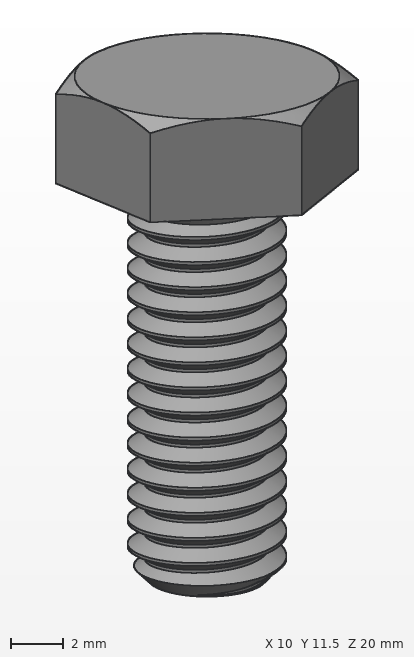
import cadquery as cq
import math

across_flats = 10.0
hexagon_half_sector = 30.0
head_height = 4.0
head_chamfer_angle = 30.0

shank_length = 16.0
major_diameter = 6.0
pitch = 1.0
crest_width = pitch / 8
root_width = pitch / 8
flank_half_angle = 30.0
thread_depth = (pitch - crest_width - root_width) / 2 / math.tan(math.radians(flank_half_angle))
major_radius = major_diameter / 2
minor_radius = major_radius - thread_depth
crest_phase_angle = 90.0

neck_radius = 3.1
neck_half_angle = 30.0
tip_radius = 2.25

groove_overcut = 0.05


def revolved(profile):
    """Revolve (radius, z) points about the bolt axis."""
    return cq.Workplane("XZ").polyline(profile).close().revolve(360, (0, 0, 0), (0, 1, 0))


def hexagon_head():
    """Hexagon with flats facing +X and -X and corners chamfered down from the top."""
    corner_radius = across_flats / 2 / math.cos(math.radians(hexagon_half_sector))
    hexagon = (
        cq.Workplane("XY")
        .polygon(6, 2 * corner_radius)
        .extrude(head_height)
        .rotate((0, 0, 0), (0, 0, 1), hexagon_half_sector)
    )
    flat_radius = across_flats / 2
    outer_radius = 2 * flat_radius
    drop = (outer_radius - flat_radius) * math.tan(math.radians(head_chamfer_angle))
    chamfer_cone = revolved([
        (0, 0),
        (outer_radius, 0),
        (outer_radius, head_height - drop),
        (flat_radius, head_height),
        (0, head_height),
    ])
    return hexagon.intersect(chamfer_cone)


def thread_groove():
    """Right-handed trapezoidal groove, overrunning the shank at both ends."""
    mouth_radius = major_radius + groove_overcut
    root_half = root_width / 2
    mouth_half = (pitch - crest_width) / 2 + groove_overcut * math.tan(math.radians(flank_half_angle))
    crests_along_shank = math.ceil(shank_length / pitch)
    turns = crests_along_shank + 2
    start_z = -(crests_along_shank + 1) * pitch - pitch / 2

    def helix_turn(radius, z):
        return cq.Wire.makeHelix(pitch, pitch, radius).moved(cq.Location(cq.Vector(0, 0, z)))

    section = [
        (minor_radius, -root_half),
        (minor_radius, root_half),
        (mouth_radius, mouth_half),
        (mouth_radius, -mouth_half),
    ]
    faces = []
    for turn in range(turns):
        turn_z = start_z + turn * pitch
        rails = [helix_turn(radius, turn_z + offset) for radius, offset in section]
        for first_rail, second_rail in zip(rails, rails[1:] + rails[:1]):
            faces += cq.Face.makeRuledSurface(first_rail, second_rail).Faces()
    for end_z in (start_z, start_z + turns * pitch):
        corners = [cq.Vector(radius, 0, end_z + offset) for radius, offset in section]
        faces.append(cq.Face.makeFromWires(cq.Wire.makePolygon(corners, close=True)))
    groove = cq.Solid.makeSolid(cq.Shell.makeShell(faces))
    return cq.Workplane(groove).rotate((0, 0, 0), (0, 0, 1), crest_phase_angle)


def threaded_shank():
    """Cylinder with a 45 degree tip chamfer, cut by the thread groove."""
    chamfer_top = major_radius - tip_radius - shank_length
    blank = revolved([
        (0, 0),
        (major_radius, 0),
        (major_radius, chamfer_top),
        (tip_radius, -shank_length),
        (0, -shank_length),
    ])
    return blank.cut(thread_groove())


def neck():
    """Cone that narrows from the head to the thread root."""
    neck_length = (neck_radius - minor_radius) / math.tan(math.radians(neck_half_angle))
    return revolved([(0, 0), (neck_radius, 0), (minor_radius, -neck_length), (0, -neck_length)])


result = hexagon_head().union(threaded_shank().union(neck()))